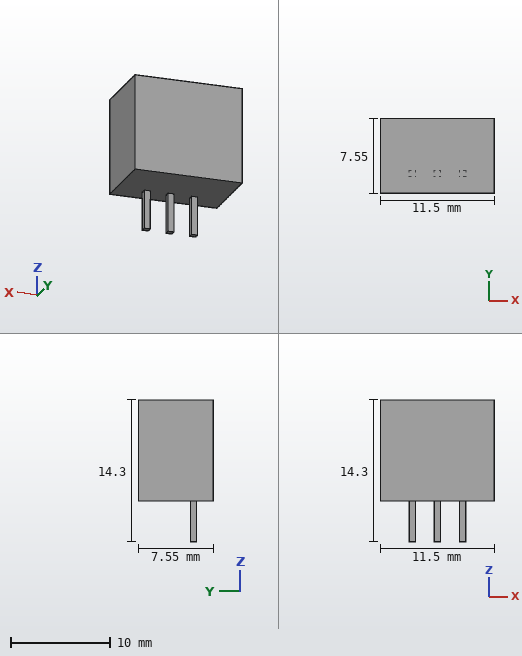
import cadquery as cq

body_width = 11.5
body_depth = 7.55
total_height = 14.3

pin_length = 4.1
pin_side = 0.65
pin_pitch = 2.53
pin_count = 3
pin_row_y = -1.77

body_height = total_height - pin_length

body = cq.Workplane("XY").box(body_width, body_depth, body_height, centered=(True, True, False))

pins = (
    cq.Workplane("XY")
    .center(0, pin_row_y)
    .rarray(pin_pitch, 0.15, pin_count, 1)
    .rect(pin_side, pin_side)
    .extrude(-pin_length)
)

result = body.union(pins)